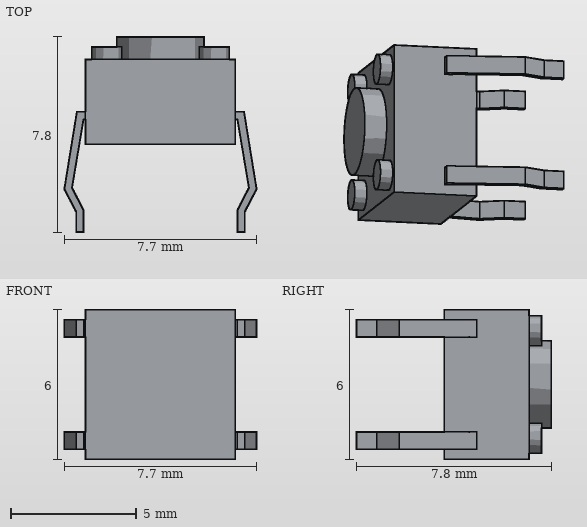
import cadquery as cq

overall_width = 7.7
overall_length = 7.8

housing_side = 6.0
housing_depth = 3.4
half_side = housing_side / 2

button_diameter = 3.5
button_height = 0.9

stud_diameter = 1.2
stud_height = 0.5
stud_offset = 2.15

leg_width = 0.695
leg_offset = 2.25
leg_thickness = 0.305
root_y = 1.31
root_x = 3.35
elbow_x = overall_width / 2
elbow_outer_y = -1.79
elbow_inner_y = -1.73
elbow_inner_x = 3.53
tip_x = 3.38
tip_outer_y = -2.69
tip_inner_y = -2.63
tip_end_y = housing_depth + button_height - overall_length
tip_inner_x = tip_x - leg_thickness
root_inner_x = 3.07
root_inner_y = root_y - leg_thickness


def make_back_cylinder(x, z, diameter, height):
    """Cylinder standing on the back face of the housing, pointing to +Y."""
    return cq.Workplane(
        cq.Solid.makeCylinder(
            diameter / 2, height, cq.Vector(x, housing_depth, z), cq.Vector(0, 1, 0)
        )
    )


def make_leg(side, z):
    """Bent strip leg on the +X side (side = 1) or -X side (side = -1)."""
    outline = [
        (half_side, root_y),
        (root_x, root_y),
        (elbow_x, elbow_outer_y),
        (tip_x, tip_outer_y),
        (tip_x, tip_end_y),
        (tip_inner_x, tip_end_y),
        (tip_inner_x, tip_inner_y),
        (elbow_inner_x, elbow_inner_y),
        (root_inner_x, root_inner_y),
        (half_side, root_inner_y),
    ]
    return (
        cq.Workplane("XY", origin=(0, 0, z - leg_width / 2))
        .polyline([(side * x, y) for x, y in outline])
        .close()
        .extrude(leg_width)
    )


def make_housing():
    """Block with four studs and four legs as one solid."""
    housing = cq.Workplane("XY").box(
        housing_side, housing_depth, housing_side, centered=(True, False, True)
    )
    for x_side in (-1, 1):
        for z_side in (-1, 1):
            stud = make_back_cylinder(
                x_side * stud_offset, z_side * stud_offset, stud_diameter, stud_height
            )
            leg = make_leg(x_side, z_side * leg_offset)
            housing = housing.union(stud).union(leg)
    return housing


def make_button():
    """Round button resting on the back face."""
    return make_back_cylinder(0, 0, button_diameter, button_height)


housing = make_housing()
button = make_button()

result = cq.Compound.makeCompound([housing.solids().val(), button.val()])